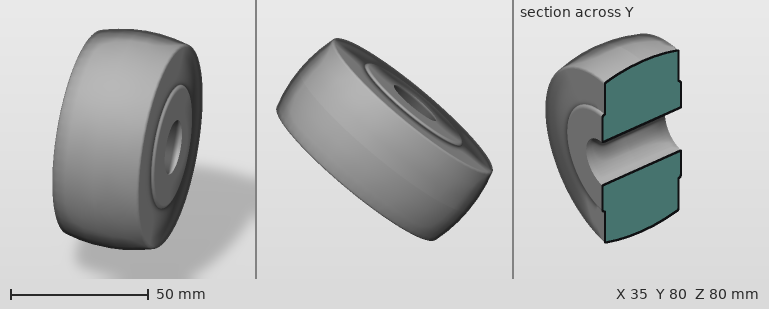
import cadquery as cq
import math

wheel_diameter = 80.0
tread_width = 33.0
crown_radius = 56.0
tread_edge_fillet = 1.0

hub_diameter = 46.0
hub_width = 35.0
hub_edge_fillet = 1.5

bore_diameter = 20.0


def axial_cylinder(diameter, length):
    """Solid cylinder along X, centred on the origin."""
    return cq.Workplane("YZ").circle(diameter / 2).extrude(length / 2, both=True)


def crowned_tread():
    """Wheel body whose rim is two arcs of one circle meeting at mid-width."""
    top_radius = wheel_diameter / 2
    half_width = tread_width / 2
    crown_center = top_radius - crown_radius

    def crown_height(x):
        return crown_center + math.sqrt(crown_radius**2 - x**2)

    quarter_width = half_width / 2
    edge_radius = crown_height(half_width)
    quarter_radius = crown_height(quarter_width)
    body = (
        cq.Workplane("XY")
        .moveTo(-half_width, 0)
        .lineTo(-half_width, edge_radius)
        .threePointArc((-quarter_width, quarter_radius), (0, top_radius))
        .threePointArc((quarter_width, quarter_radius), (half_width, edge_radius))
        .lineTo(half_width, 0)
        .close()
        .revolve(360, (0, 0, 0), (1, 0, 0))
    )
    return body.faces("<X or >X").edges().fillet(tread_edge_fillet)


def hub():
    """Central core, slightly wider than the tread, with rounded rims."""
    core = axial_cylinder(hub_diameter, hub_width)
    return core.faces("<X or >X").edges().fillet(hub_edge_fillet)


wheel = crowned_tread().union(hub(), clean=False)
bore = axial_cylinder(bore_diameter, hub_width)
result = wheel.cut(bore, clean=False)